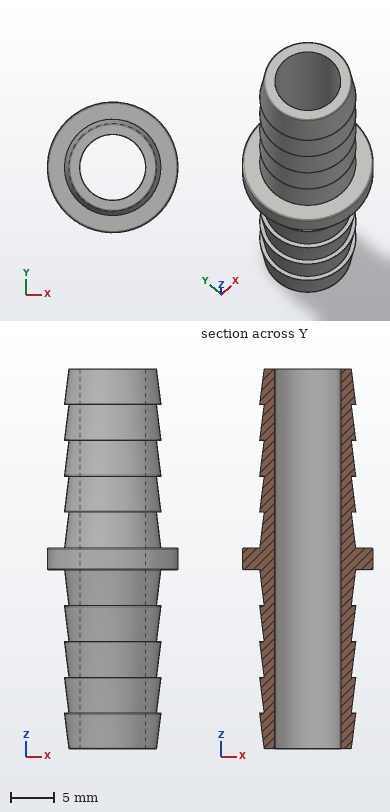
import cadquery as cq

total_length = 43.39
flange_diameter = 14.93
flange_thickness = 2.5
bore_diameter = 7.5

barbs_per_side = 5
barb_tip_diameter = 10.0
barb_crest_diameter = 11.0
crest_land_height = 0.13

flange_edge_radius = 0.15
end_edge_radius = 0.12

half_length = total_length / 2
half_flange = flange_thickness / 2
barb_pitch = (half_length - half_flange) / barbs_per_side


def make_flange():
    """Central stop collar, centred on the origin, with both rims rounded."""
    collar = cq.Workplane("XY").workplane(offset=-half_flange)
    collar = collar.circle(flange_diameter / 2).extrude(flange_thickness)
    return collar.faces("|Z").edges().fillet(flange_edge_radius)


def make_hose_tail():
    """Stack of barbs from the flange face up to the +Z end, with the end rim rounded."""
    crest_radius = barb_crest_diameter / 2
    tip_radius = barb_tip_diameter / 2
    profile = cq.Workplane("XZ").moveTo(0, half_flange)
    for index in range(barbs_per_side):
        crest_z = half_flange + index * barb_pitch
        profile = profile.lineTo(crest_radius, crest_z)
        if index > 0:
            profile = profile.lineTo(crest_radius, crest_z + crest_land_height)
        profile = profile.lineTo(tip_radius, crest_z + barb_pitch)
    profile = profile.lineTo(0, half_length).close()
    tail = profile.revolve(360, (0, 0, 0), (0, 1, 0))
    return tail.faces(">Z").edges().fillet(end_edge_radius)


def make_bore():
    """Straight passage through the full length."""
    bore = cq.Workplane("XY").workplane(offset=-half_length)
    return bore.circle(bore_diameter / 2).extrude(total_length)


upper_tail = make_hose_tail()
lower_tail = upper_tail.mirror("XY")

result = make_flange().union(upper_tail).union(lower_tail).cut(make_bore())